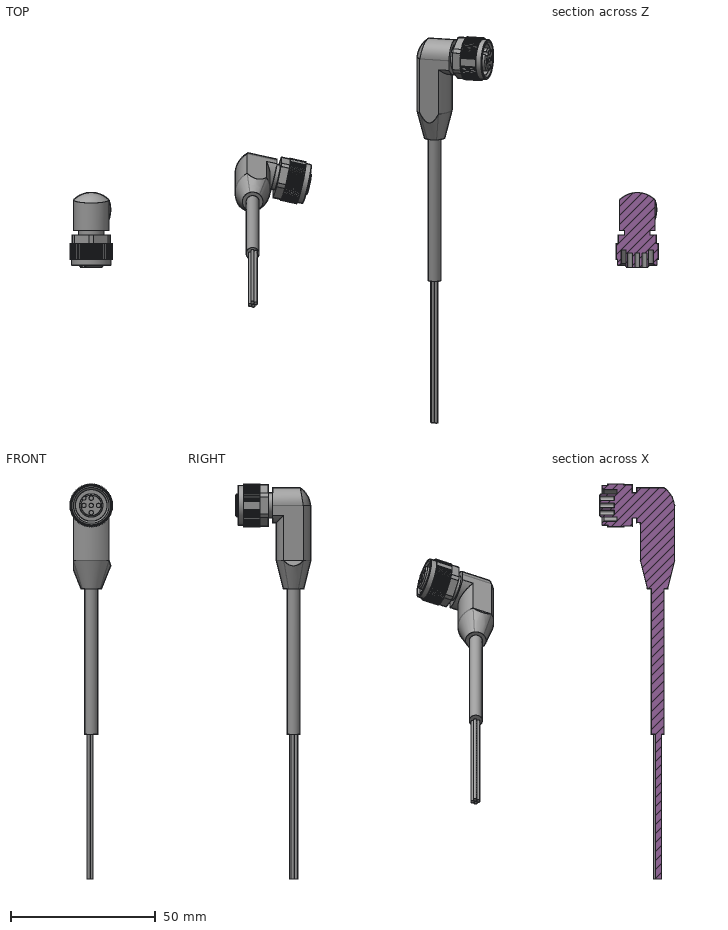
import cadquery as cq
import math


BODY_HALF_WIDTH = 12.3 / 2
BODY_DEPTH = 6.0
EDGE_DEPTH = 3.4
BODY_FRONT_Y = -7.25
SHOULDER_Z = -19.0
BULGE_RISE = BODY_DEPTH - EDGE_DEPTH
BULGE_RADIUS = (BODY_HALF_WIDTH**2 + BULGE_RISE**2) / (2 * BULGE_RISE)
BULGE_CENTRE_Y = BODY_DEPTH - BULGE_RADIUS
DOME_CENTRE_Z = -0.9

BOOT_END_Z = -28.8
BOOT_END_RADIUS = 3.55
BOOT_SIDE_RADIUS = 7.5
BUMP_REACH = 6.8
BUMP_Z = -21.0

CABLE_DIAMETER = 4.5
CABLE_END_Z = -79.0
WIRE_DIAMETER = 1.15
WIRE_PITCH = 1.17
WIRE_BUNDLE_X = -0.4

NECK_DIAMETER = 8.85
HEX_ACROSS_FLATS = 13.15
HEX_CORNER_DIAMETER = 14.4
HEX_BACK_Y = -8.7
GRIP_BACK_Y = -11.6
GRIP_FRONT_Y = -17.2
GRIP_RADIUS = 7.44
GRIP_ROOT_RADIUS = 7.1
GRIP_FLAT_WIDTH = 14.62
GROOVE_COUNT = 80
COLLAR_DIAMETER = 13.8
COLLAR_FRONT_Y = -19.25
COLLAR_CHAMFER = 0.2
BORE_DIAMETER = 10.92
BORE_MOUTH_DIAMETER = 12.3
BORE_FLOOR_Y = -14.0

INSERT_DIAMETER = 8.05
INSERT_FRONT_Y = -20.0
INSERT_CHAMFER = 0.5
CONTACT_DIAMETER = 1.5
CONTACT_CIRCLE_RADIUS = 2.5
CONTACT_DEPTH = 5.0
KEY_DIAMETER = 1.5
KEY_CENTRE_RADIUS = 3.6
KEY_ANGLE = 135

OVERALL_HEIGHT = 136.44
WIRE_END_Z = GRIP_RADIUS - OVERALL_HEIGHT


def rod_y(diameter, back_y, front_y, x=0, z=0):
    """Cylinder along Y from back_y forward (towards -Y) to front_y."""
    plane = cq.Workplane("XZ", origin=(x, back_y, z))
    return plane.circle(diameter / 2).extrude(back_y - front_y)


def rod_z(diameter, top_z, bottom_z, x=0, y=0):
    """Cylinder along Z between two heights."""
    plane = cq.Workplane("XY", origin=(x, y, bottom_z))
    return plane.circle(diameter / 2).extrude(top_z - bottom_z)


def make_body():
    """Upright with bulged front and back, joined to a short leg with a round top."""
    w = BODY_HALF_WIDTH
    upright = (
        cq.Workplane("XY", origin=(0, 0, SHOULDER_Z))
        .moveTo(-w, -EDGE_DEPTH)
        .threePointArc((0, -BODY_DEPTH), (w, -EDGE_DEPTH))
        .lineTo(w, EDGE_DEPTH)
        .threePointArc((0, BODY_DEPTH), (-w, EDGE_DEPTH))
        .close()
        .extrude(-SHOULDER_Z)
    )
    leg = (
        cq.Workplane("XZ", origin=(0, BODY_DEPTH, 0))
        .moveTo(-w, -EDGE_DEPTH)
        .threePointArc((0, -BODY_DEPTH), (w, -EDGE_DEPTH))
        .lineTo(w, 0)
        .threePointArc((0, w), (-w, 0))
        .close()
        .extrude(BODY_DEPTH - BODY_FRONT_Y)
    )
    dome_centre = cq.Workplane("XY", origin=(0, BULGE_CENTRE_Y, DOME_CENTRE_Z))
    dome = dome_centre.sphere(BULGE_RADIUS)
    bulge_post = dome_centre.circle(BULGE_RADIUS).extrude(-BULGE_RADIUS)
    front_block = cq.Workplane("XZ").rect(4 * w, 4 * w).extrude(-BODY_FRONT_Y)
    return upright.union(leg.intersect(dome.union(bulge_post).union(front_block)))


def boot_section(z, half_width, edge_depth, side_reach, depth):
    """Closed wire of four arcs: front, +X side, back and -X side."""
    return (
        cq.Workplane("XY", origin=(0, 0, z))
        .moveTo(-half_width, -edge_depth)
        .threePointArc((0, -depth), (half_width, -edge_depth))
        .threePointArc((side_reach, 0), (half_width, edge_depth))
        .threePointArc((0, depth), (-half_width, edge_depth))
        .threePointArc((-side_reach, 0), (-half_width, -edge_depth))
        .close()
        .val()
    )


def make_boot():
    """Taper from the body section to a circle, with its sides cut back to the body width."""
    edge_angle = math.atan2(EDGE_DEPTH, BODY_HALF_WIDTH)
    top = boot_section(SHOULDER_Z, BODY_HALF_WIDTH, EDGE_DEPTH, BOOT_SIDE_RADIUS, BODY_DEPTH)
    bottom = boot_section(
        BOOT_END_Z,
        BOOT_END_RADIUS * math.cos(edge_angle),
        BOOT_END_RADIUS * math.sin(edge_angle),
        BOOT_END_RADIUS,
        BOOT_END_RADIUS,
    )
    taper = cq.Workplane(obj=cq.Solid.makeLoft([top, bottom], True))
    envelope = (
        cq.Workplane("XZ")
        .moveTo(-BODY_HALF_WIDTH, SHOULDER_Z)
        .lineTo(BODY_HALF_WIDTH, SHOULDER_Z)
        .lineTo(BUMP_REACH, BUMP_Z)
        .lineTo(BUMP_REACH, BOOT_END_Z)
        .lineTo(-BODY_HALF_WIDTH, BOOT_END_Z)
        .close()
        .extrude(2 * BODY_DEPTH, both=True)
    )
    return taper.intersect(envelope)


def make_cable():
    """Sheathed cable with four bare wires in two staggered columns."""
    cable = rod_z(CABLE_DIAMETER, BOOT_END_Z, CABLE_END_Z)
    column_offset = WIRE_PITCH * math.sin(math.radians(60)) / 2
    stagger = WIRE_PITCH / 4
    for side in (-1, 1):
        for row in (-1, 1):
            x = WIRE_BUNDLE_X + side * column_offset
            y = side * stagger + row * WIRE_PITCH / 2
            cable = cable.union(rod_z(WIRE_DIAMETER, CABLE_END_Z, WIRE_END_Z, x, y))
    return cable


def make_grip():
    """Ring with fine V grooves and a plain flat on each X side."""
    pitch = 2 * math.pi / GROOVE_COUNT
    points = []
    for i in range(GROOVE_COUNT):
        for radius, angle in ((GRIP_ROOT_RADIUS, (i + 0.5) * pitch), (GRIP_RADIUS, (i + 1) * pitch)):
            points.append((radius * math.cos(angle), radius * math.sin(angle)))
    length = GRIP_BACK_Y - GRIP_FRONT_Y
    grooved = cq.Workplane("XZ", origin=(0, GRIP_BACK_Y, 0)).polyline(points).close().extrude(length)
    ring = rod_y(2 * GRIP_RADIUS, GRIP_BACK_Y, GRIP_FRONT_Y)
    flat_height = 2 * math.sqrt(GRIP_RADIUS**2 - (GRIP_FLAT_WIDTH / 2) ** 2)
    section = cq.Workplane("XZ", origin=(0, GRIP_BACK_Y, 0))
    flat_band = section.rect(GRIP_FLAT_WIDTH, flat_height).extrude(length)
    slab = section.rect(GRIP_FLAT_WIDTH, 2 * GRIP_RADIUS).extrude(length)
    return grooved.union(flat_band.intersect(ring)).intersect(slab)


def make_nut():
    """Hexagon with trimmed corners, grooved grip and a collar open to the front."""
    half_side_angle = 180 / 6
    hexagon = (
        cq.Workplane("XZ", origin=(0, HEX_BACK_Y, 0))
        .transformed(rotate=(0, 0, half_side_angle))
        .polygon(6, HEX_ACROSS_FLATS / math.cos(math.radians(half_side_angle)))
        .extrude(HEX_BACK_Y - GRIP_BACK_Y)
        .intersect(rod_y(HEX_CORNER_DIAMETER, HEX_BACK_Y, GRIP_BACK_Y))
    )
    collar = rod_y(COLLAR_DIAMETER, GRIP_FRONT_Y, COLLAR_FRONT_Y).faces("<Y").chamfer(COLLAR_CHAMFER)
    mouth_chamfer = (BORE_MOUTH_DIAMETER - BORE_DIAMETER) / 2
    bore = rod_y(BORE_DIAMETER, BORE_FLOOR_Y, COLLAR_FRONT_Y)
    mouth = cq.Solid.makeCone(
        BORE_MOUTH_DIAMETER / 2,
        BORE_DIAMETER / 2,
        mouth_chamfer,
        pnt=cq.Vector(0, COLLAR_FRONT_Y, 0),
        dir=cq.Vector(0, 1, 0),
    )
    return hexagon.union(make_grip()).union(collar).cut(bore).cut(mouth)


def make_insert():
    """Contact carrier with five contact holes and a coding notch in its rim."""
    insert = rod_y(INSERT_DIAMETER, BORE_FLOOR_Y, INSERT_FRONT_Y).faces("<Y").chamfer(INSERT_CHAMFER)
    hole_back_y = INSERT_FRONT_Y + CONTACT_DEPTH
    r = CONTACT_CIRCLE_RADIUS
    for x, z in ((0, 0), (r, 0), (-r, 0), (0, r), (0, -r)):
        insert = insert.cut(rod_y(CONTACT_DIAMETER, hole_back_y, INSERT_FRONT_Y, x, z))
    key_x = KEY_CENTRE_RADIUS * math.cos(math.radians(KEY_ANGLE))
    key_z = KEY_CENTRE_RADIUS * math.sin(math.radians(KEY_ANGLE))
    return insert.cut(rod_y(KEY_DIAMETER, hole_back_y, INSERT_FRONT_Y, key_x, key_z))


neck = rod_y(NECK_DIAMETER, BODY_FRONT_Y, HEX_BACK_Y)
result = (
    make_body()
    .union(make_boot())
    .union(make_cable())
    .union(neck)
    .union(make_nut())
    .union(make_insert())
)